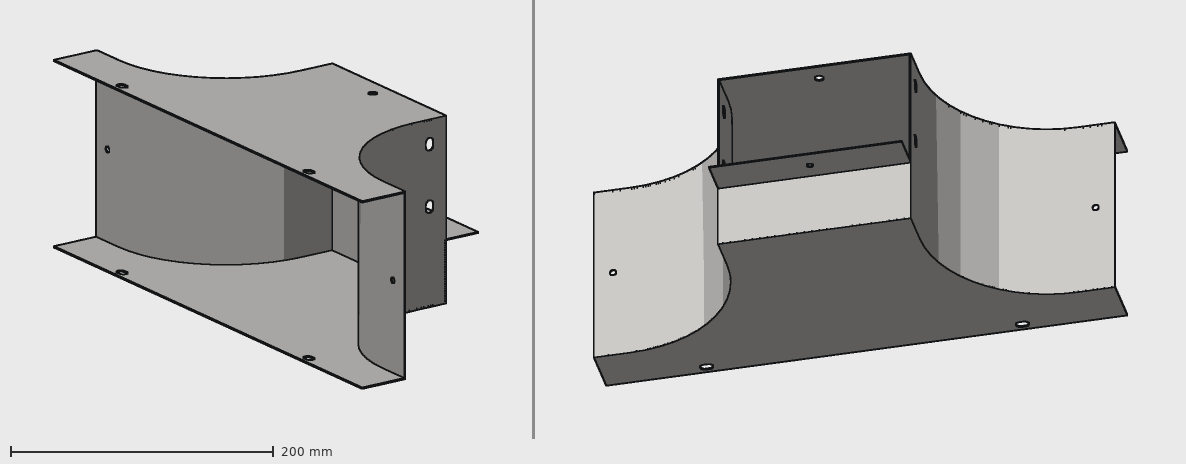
import cadquery as cq

length = 408.0
duct_width = 151.0
sheet = 1.2
wall_sheet = 1.0
tab_sheet = 1.0
straight = 29.5
front_margin = 40.0
tab_reach = 29.5
tab_height = 52.0
hole_diameter = 5.0
slot_width = 7.0
slot_length = 10.0
hole_inset = 15.0
branch_inset = 15.5
cover_slot_x = 123.5
cover_slot_inset = 7.0
side_slot_heights = (80.8, 131.0)

height = duct_width
half_length = length / 2
half_width = duct_width / 2
bend_x = half_length - straight
bend_radius = bend_x - half_width
bend_y = front_margin + bend_radius
branch_y = bend_y + straight
diagonal = 0.5 ** 0.5


def bend_midpoint(side, radius):
    """Middle of the quarter-circle bend of the given radius."""
    return (side * (bend_x - radius * diagonal), bend_y - radius * diagonal)


def cover(base_z):
    """Tee-shaped sheet closing the top or bottom of the duct."""
    return (
        cq.Workplane("XY", origin=(0, 0, base_z))
        .moveTo(-half_length, 0)
        .lineTo(half_length, 0)
        .lineTo(half_length, front_margin)
        .lineTo(bend_x, front_margin)
        .threePointArc(bend_midpoint(1, bend_radius), (half_width, bend_y))
        .lineTo(half_width, branch_y)
        .lineTo(-half_width, branch_y)
        .lineTo(-half_width, bend_y)
        .threePointArc(bend_midpoint(-1, bend_radius), (-bend_x, front_margin))
        .lineTo(-half_length, front_margin)
        .close()
        .extrude(sheet)
    )


def side_wall(side):
    """Curved wall joining a run end to the branch, flush with the cover edges."""
    inner_radius = bend_radius + wall_sheet
    inner_x = half_width - wall_sheet
    inner_y = front_margin - wall_sheet
    return (
        cq.Workplane("XY")
        .moveTo(side * half_length, front_margin)
        .lineTo(side * bend_x, front_margin)
        .threePointArc(bend_midpoint(side, bend_radius), (side * half_width, bend_y))
        .lineTo(side * half_width, branch_y)
        .lineTo(side * inner_x, branch_y)
        .lineTo(side * inner_x, bend_y)
        .threePointArc(bend_midpoint(side, inner_radius), (side * bend_x, inner_y))
        .lineTo(side * half_length, inner_y)
        .close()
        .extrude(height)
    )


def bracket():
    """Upright plate across the branch mouth with an outward flange on top."""
    upright = cq.Workplane("XY").box(
        duct_width, tab_sheet, tab_height, centered=(True, False, False)
    ).translate((0, branch_y - tab_sheet, 0))
    flange = cq.Workplane("XY").box(
        duct_width, tab_reach + tab_sheet, tab_sheet, centered=(True, False, False)
    ).translate((0, branch_y - tab_sheet, tab_height - tab_sheet))
    return upright.union(flange)


tee = cover(0).union(cover(height - sheet))
for wall_side in (-1, 1):
    tee = tee.union(side_wall(wall_side))
tee = tee.union(bracket())

cover_slots = (
    cq.Workplane("XY")
    .pushPoints([(-cover_slot_x, cover_slot_inset), (cover_slot_x, cover_slot_inset)])
    .slot2D(slot_length, slot_width)
    .extrude(height)
)

branch_slots = (
    cq.Workplane("YZ", origin=(-half_width, 0, 0))
    .pushPoints([(branch_y - branch_inset, z) for z in side_slot_heights])
    .slot2D(slot_length, slot_width, angle=90)
    .extrude(duct_width)
)

wall_hole_x = half_length - hole_inset
wall_holes = (
    cq.Workplane("XZ", origin=(0, front_margin, 0))
    .pushPoints([(-wall_hole_x, height / 2), (wall_hole_x, height / 2)])
    .circle(hole_diameter / 2)
    .extrude(wall_sheet)
)

cover_hole = (
    cq.Workplane("XY", origin=(0, branch_y - branch_inset, height - sheet))
    .circle(slot_width / 2)
    .extrude(sheet)
)

flange_hole = (
    cq.Workplane("XY", origin=(0, branch_y + tab_reach - hole_inset, tab_height - tab_sheet))
    .circle(hole_diameter / 2)
    .extrude(tab_sheet)
)

for cutter in (cover_slots, branch_slots, wall_holes, cover_hole, flange_hole):
    tee = tee.cut(cutter)

result = tee